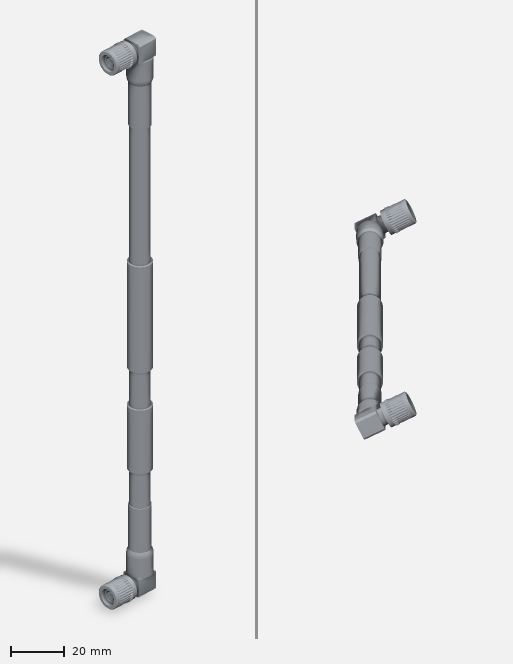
import cadquery as cq
import math

overall_length = 243.0

ring_diameter = 10.5
ring_radius = ring_diameter / 2
nut_diameter = 10.0
nut_radius = nut_diameter / 2
nut_back_y = -6.5
nut_front_y = -17.0
nut_front_chamfer = 0.36
ring_back_y = -8.5
ring_front_y = -10.0
flute_front_y = -15.5
flute_count = 32
flute_radius = 0.41
nut_axis_z = overall_length / 2 - ring_radius
neck_radius = 3.5

bore_radius = 3.5
bore_depth = 6.0
tube_radius = 2.7
tube_wall = 0.5
tube_setback = 1.2
pin_radius = 1.7
pin_hole_radius = 0.5
pin_hole_depth = 3.6

block_width = 8.3
block_depth = 8.7
block_top_z = nut_axis_z + block_width / 2
block_bottom_z = 112.3
block_chamfer = 0.85

boot_radius = 5.0
boot_end_radius = 4.4
shoulder_top_z = 103.7
shoulder_bottom_z = 101.5
boot_end_z = 82.5

cable_diameter = 8.0
cable_radius = cable_diameter / 2
sleeve_radius = 4.9
long_sleeve_length = 46.2
long_sleeve_bottom_z = -long_sleeve_length / 2
short_sleeve_length = 27.7
short_sleeve_bottom_z = -67.0


def rod_along_y(radius, back_y, front_y):
    """Cylinder on the nut axis, from back_y forward to front_y."""
    plane = cq.Workplane("XZ", origin=(0, back_y, nut_axis_z))
    return plane.circle(radius).extrude(back_y - front_y)


def make_cable():
    """Cable between the two elbow blocks, inside both boots."""
    plane = cq.Workplane("XY", origin=(0, 0, -block_bottom_z))
    return plane.circle(cable_radius).extrude(2 * block_bottom_z)


def make_sleeve(bottom_z, length):
    """Tube that fits on the cable."""
    plane = cq.Workplane("XY", origin=(0, 0, bottom_z))
    return plane.circle(sleeve_radius).circle(cable_radius).extrude(length)


def make_boot():
    """Stepped tube that holds the end of the cable."""
    shoulder_height = shoulder_top_z - shoulder_bottom_z
    step = boot_radius - boot_end_radius
    shoulder_arc_radius = (shoulder_height**2 + step**2) / (2 * step)
    profile = (
        cq.Workplane("XZ")
        .moveTo(cable_radius, boot_end_z)
        .lineTo(boot_end_radius, boot_end_z)
        .lineTo(boot_end_radius, shoulder_bottom_z)
        .radiusArc((boot_radius, shoulder_top_z), -shoulder_arc_radius)
        .lineTo(boot_radius, block_bottom_z)
        .lineTo(cable_radius, block_bottom_z)
        .close()
    )
    return profile.revolve(360, (0, 0), (0, 1))


def make_block():
    """Elbow block with its two long top edges chamfered."""
    height = block_top_z - block_bottom_z
    plane = cq.Workplane("XY", origin=(0, 0, block_bottom_z))
    block = plane.rect(block_width, block_depth).extrude(height)
    return block.faces(">Z").edges("|Y").chamfer(block_chamfer)


def cut_flutes(nut):
    """Cut lengthwise grooves around the nut, through its raised ring, with a tooth left at the top."""
    for i in range(flute_count):
        angle = 2 * math.pi * (i + 0.5) / flute_count
        x = ring_radius * math.cos(angle)
        z = nut_axis_z + ring_radius * math.sin(angle)
        plane = cq.Workplane("XZ", origin=(x, ring_back_y, z))
        nut = nut.cut(plane.circle(flute_radius).extrude(ring_back_y - flute_front_y))
    return nut


def make_nut():
    """Fluted coupling nut with its raised ring and its socket."""
    nut = rod_along_y(nut_radius, nut_back_y, nut_front_y).faces("<Y").chamfer(nut_front_chamfer)
    nut = nut.union(rod_along_y(ring_radius, ring_back_y, ring_front_y))
    nut = cut_flutes(nut)
    floor_y = nut_front_y + bore_depth
    tube_front_y = nut_front_y + tube_setback
    nut = nut.cut(rod_along_y(bore_radius, floor_y, nut_front_y))
    tube = rod_along_y(tube_radius, floor_y, tube_front_y)
    tube = tube.cut(rod_along_y(tube_radius - tube_wall, floor_y, tube_front_y))
    pin = rod_along_y(pin_radius, floor_y, tube_front_y)
    pin = pin.cut(rod_along_y(pin_hole_radius, tube_front_y + pin_hole_depth, tube_front_y))
    return nut.union(tube).union(pin)


def make_connector():
    """Upper right-angle connector: boot, elbow block, neck and nut in one body."""
    neck = rod_along_y(neck_radius, 0, nut_back_y)
    return make_boot().union(make_block()).union(neck).union(make_nut())


cable = make_cable()
long_sleeve = make_sleeve(long_sleeve_bottom_z, long_sleeve_length)
short_sleeve = make_sleeve(short_sleeve_bottom_z, short_sleeve_length)
upper_connector = make_connector()
lower_connector = upper_connector.mirror("XY")

result = cq.Compound.makeCompound([
    cable.val(),
    long_sleeve.val(),
    short_sleeve.val(),
    upper_connector.val(),
    lower_connector.val(),
])